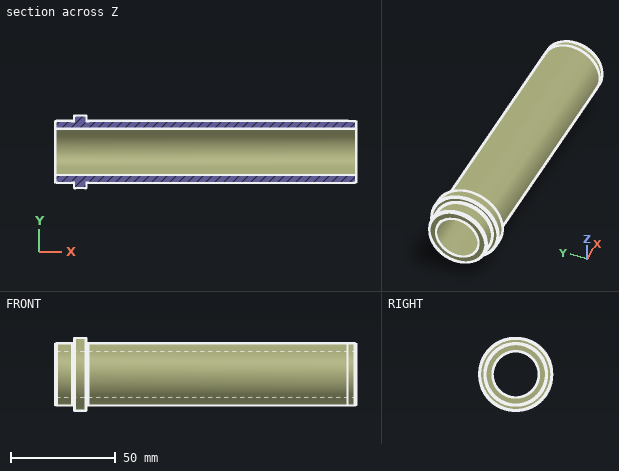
import cadquery as cq

length = 144.0
tube_diameter = 30.0
bore_diameter = 22.0
collar_diameter = 35.0
collar_start = 9.0
collar_width = 6.0
end_chamfer_length = 0.9
end_chamfer_depth = 0.5
collar_chamfer = 0.5
relief_width = 1.0
relief_depth = 0.3
lead_length = 4.2
lead_depth = 0.07

tube_radius = tube_diameter / 2
collar_end = collar_start + collar_width


def cylinder(start, width, diameter):
    """Solid cylinder on the X axis, beginning at x = start."""
    return cq.Workplane("YZ", origin=(start, 0, 0)).circle(diameter / 2).extrude(width)


def tube_body():
    """Solid tube with chamfered ends and a slightly reduced lead-in at its far end."""
    lead_radius = tube_radius - lead_depth
    outline = [
        (0, 0),
        (0, tube_radius - end_chamfer_depth),
        (end_chamfer_length, tube_radius),
        (length - lead_length, tube_radius),
        (length - lead_length, lead_radius),
        (length - end_chamfer_length, lead_radius),
        (length, lead_radius - end_chamfer_depth),
        (length, 0),
    ]
    return cq.Workplane("XY").polyline(outline).close().revolve(360, (0, 0, 0), (1, 0, 0))


def relief_groove(start):
    """Ring that cuts a shallow relief into the tube surface."""
    floor_diameter = tube_diameter - 2 * relief_depth
    ring = cylinder(start, relief_width, collar_diameter)
    return ring.cut(cylinder(start, relief_width, floor_diameter))


body = tube_body()

for groove_start in (collar_start - relief_width, collar_end):
    body = body.cut(relief_groove(groove_start))

collar = cylinder(collar_start, collar_width, collar_diameter).edges().chamfer(collar_chamfer)

bore = cylinder(0, length, bore_diameter)

result = body.union(collar).cut(bore)